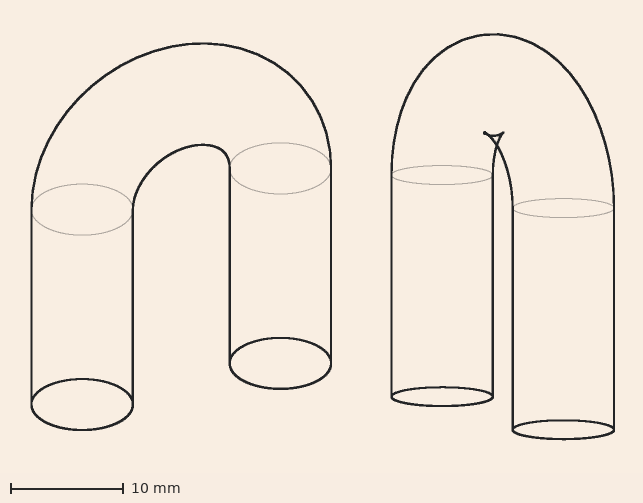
import cadquery as cq

height = 34.0
width = 28.0
rod_diameter = 9.0

rod_radius = rod_diameter / 2
bend_radius = width / 2 - rod_radius
leg_length = height - width / 2

centreline = (
    cq.Workplane("YZ")
    .moveTo(-bend_radius, 0)
    .lineTo(-bend_radius, leg_length)
    .threePointArc((0, leg_length + bend_radius), (bend_radius, leg_length))
    .lineTo(bend_radius, 0)
)

result = (
    cq.Workplane("XY")
    .center(0, -bend_radius)
    .circle(rod_radius)
    .sweep(centreline)
)